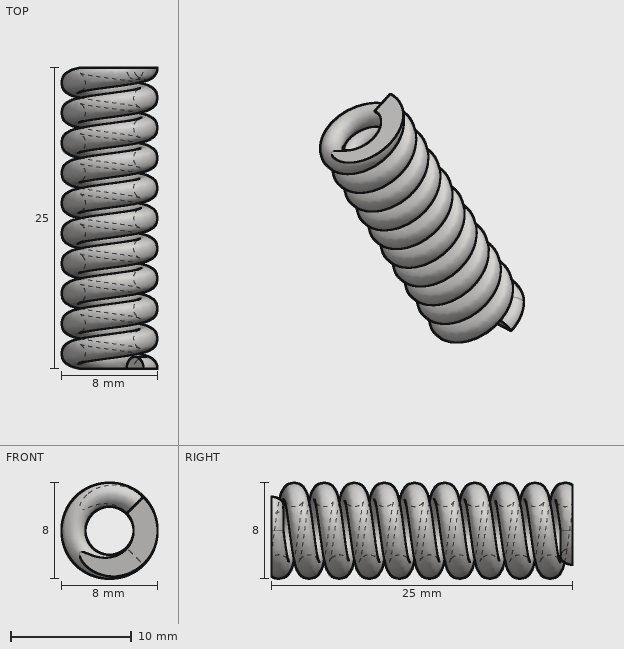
import cadquery as cq

outer_diameter = 8.0
wire_diameter = 2.0
pitch = 2.5
turns = 10
closed_end_angle = 45.0

coil_radius = (outer_diameter - wire_diameter) / 2
ground_length = pitch * turns


def wire_section():
    """Round wire section in the radial plane, on the +X side at Z = 0."""
    return cq.Workplane("XZ").center(coil_radius, 0).circle(wire_diameter / 2)


def make_helical_coil():
    """Sweep the wire along a right-handed helix rising from Z = 0."""
    helix = cq.Wire.makeHelix(pitch, ground_length, coil_radius)
    return wire_section().sweep(cq.Workplane(helix), isFrenet=True)


def make_closed_end():
    """Flat arc of wire running back from the helix start, clockwise about Z."""
    axis_start = (-coil_radius, 0)
    axis_end = (-coil_radius, 1)
    arc = wire_section().revolve(closed_end_angle, axis_start, axis_end)
    return arc.rotate((0, 0, 0), (0, 0, 1), -closed_end_angle)


def grind_ends(coil):
    """Keep only the coil between the two flat ground end planes."""
    envelope_side = 2 * outer_diameter
    envelope = cq.Workplane("XY").box(
        envelope_side, envelope_side, ground_length, centered=(True, True, False)
    )
    return coil.intersect(envelope)


def make_spring():
    """Ground spring standing on Z = 0."""
    start_end = make_closed_end()
    finish_end = start_end.rotate((0, 0, 0), (1, 0, 0), 180).translate((0, 0, ground_length))
    ground_coil = grind_ends(make_helical_coil())
    return ground_coil.union(grind_ends(start_end)).union(grind_ends(finish_end))


result = make_spring().translate((0, 0, -ground_length / 2)).rotate((0, 0, 0), (1, 0, 0), -90)